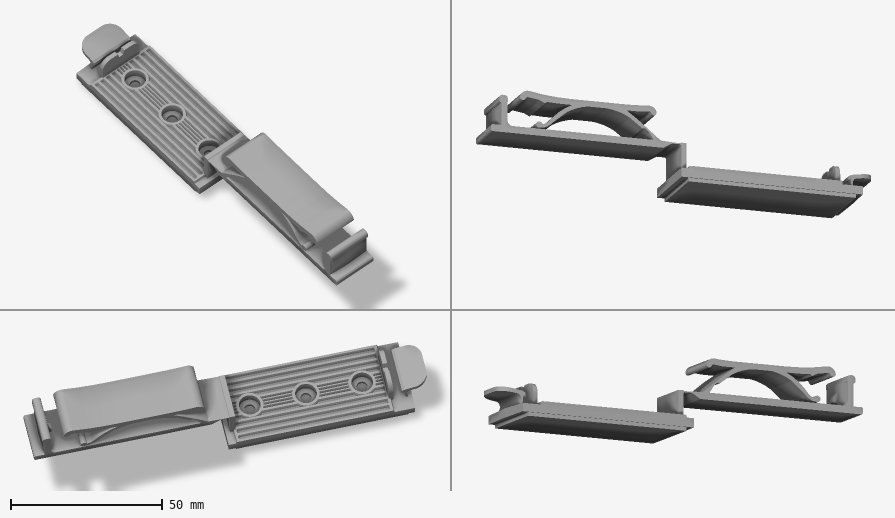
import cadquery as cq
import math


base_length = 63.5
base_width = 25.4
base_bottom = 1.27
ledge_top = 4.4
end_draft = 0.3
pad_inset = 2.54
pad_side_inset = 0.38

deck_start = 7.3
deck_end = 60.95
deck_end_draft = 0.3
deck_top = 5.3
coarse_groove_pitch = 2.42
coarse_groove_width = 1.63
coarse_groove_floor = 0.83
coarse_groove_first = 3.84
coarse_grooves_per_side = 4
fine_groove_pitch = coarse_groove_pitch / 2
fine_groove_width = coarse_groove_width / 2
fine_groove_floor = 0.15
fine_groove_count = 4
groove_start = 8.5
groove_end = 60.0
groove_depth = deck_top - ledge_top

hole_spacing = 19.05
hole_middle = 34.4
hole_radius = 1.83
counterbore_radius = 3.6
counterbore_floor = 2.3
rim_radius = 4.5
rim_base_radius = 4.9

strap_width = 15.88
strap_top = 14.53
strap_bottom = 12.11
strap_end = 128.37
strap_end_chamfer = 0.4
root_post_left = 60.2
root_post_right = 62.0
hinge_bottom = 13.9
hinge_top = 14.3
hinge_end = 64.6
hinge_notch_slope = 0.2
hinge_gusset = 0.4
strap_taper_start = 65.2
strap_taper_end = 68.3

fin_left = 6.55
fin_thickness = 1.6
fin_top = 12.55
fin_corner_radius = 3.6
notch_floor = 10.6
notch_half_top = 1.38
notch_half_floor = 0.8

tab_tip = -5.65
tab_corner_radius = 4.9

lever_top = 25.84
lever_underside = 23.82
lever_flat_start = 81.5
lever_flat_end = 100.1

latch_left = 122.35
latch_right = 125.15
latch_draft = 0.35
latch_top = 25.0
latch_head_left = 122.55
latch_head_right = 125.55
latch_head_bottom = 22.3
latch_head_fillet = 1.2
latch_head_chamfer = 0.4
latch_root_fillet = 1.95
nub_tip = 120.7
nub_bottom = 16.3
nub_tip_bottom = 16.7
nub_tip_top = 18.3
nub_top = 20.2

joint_overlap = 0.3


def strap_prism(outline):
    """Extrude a closed XZ outline across the strap width, centred on y = 0."""
    return outline.close().extrude(strap_width / 2, both=True)


def box_between(x_range, width, z_range):
    """Box spanning the two ranges, centred on y = 0."""
    return (
        cq.Workplane("XY", origin=(x_range[0], 0, z_range[0]))
        .box(x_range[1] - x_range[0], width, z_range[1] - z_range[0], centered=(False, True, False))
    )


def ledge_draft_cutter():
    """Wedges that slope the latch-end ledge down towards both long sides."""
    half = base_width / 2
    return (
        cq.Workplane("YZ")
        .polyline([(0, ledge_top), (half, ledge_top - end_draft), (half, deck_top),
                   (-half, deck_top), (-half, ledge_top - end_draft)])
        .close()
        .extrude(deck_start)
    )


def make_base():
    half = base_width / 2
    plate = (
        cq.Workplane("XY", origin=(0, 0, base_bottom))
        .polyline([(0, 0), (end_draft, -half), (base_length, -half), (base_length, half), (end_draft, half)])
        .close()
        .extrude(ledge_top - base_bottom)
    )
    pad = box_between(
        (pad_inset, base_length - pad_inset), base_width - 2 * pad_side_inset, (0, base_bottom)
    )
    deck = (
        cq.Workplane("XZ")
        .polyline([(deck_start, base_bottom), (deck_end, base_bottom), (deck_end, ledge_top),
                   (deck_end - deck_end_draft, deck_top), (deck_start + deck_end_draft, deck_top),
                   (deck_start, ledge_top)])
        .close()
        .extrude(half, both=True)
    )
    return plate.cut(ledge_draft_cutter()).union(pad).union(deck)


def hole_centres():
    return [(hole_middle + i * hole_spacing, 0) for i in (-1, 0, 1)]


def wall_taper(wall_run):
    """Angle in degrees of a wall that leans by wall_run over the groove depth."""
    return math.degrees(math.atan(wall_run / groove_depth))


def make_groove(y, top_width, floor_width):
    """Groove cutter with sloped walls, square at the latch end and round at the hinge end."""
    half = top_width / 2
    wall_run = (top_width - floor_width) / 2
    return (
        cq.Workplane("XY", origin=(0, y, deck_top))
        .moveTo(groove_start, -half)
        .lineTo(groove_end - half, -half)
        .threePointArc((groove_end, 0), (groove_end - half, half))
        .lineTo(groove_start, half)
        .close()
        .extrude(-groove_depth, taper=wall_taper(wall_run))
    )


def cut_grooves(base):
    """Coarse grooves along both sides, fine ones down the middle and a plain rim around each hole."""
    grooves = cq.Workplane("XY")
    for i in range(coarse_grooves_per_side):
        y = coarse_groove_first + i * coarse_groove_pitch
        for side in (-1, 1):
            grooves = grooves.add(make_groove(side * y, coarse_groove_width, coarse_groove_floor))
    for i in range(fine_groove_count):
        y = (i - (fine_groove_count - 1) / 2) * fine_groove_pitch
        grooves = grooves.add(make_groove(y, fine_groove_width, fine_groove_floor))
    grooves = grooves.combine()
    rims = (
        cq.Workplane("XY", origin=(0, 0, ledge_top))
        .pushPoints(hole_centres())
        .circle(rim_base_radius)
        .extrude(groove_depth, taper=wall_taper(rim_base_radius - rim_radius))
    )
    return base.cut(grooves.cut(rims))


def hole_cutter(radius, floor):
    return (
        cq.Workplane("XY", origin=(0, 0, floor))
        .pushPoints(hole_centres())
        .circle(radius)
        .extrude(deck_top - floor)
    )


def make_fin():
    blank = box_between((fin_left, fin_left + fin_thickness), strap_width, (base_bottom, fin_top))
    blank = blank.edges("|X and >Z").fillet(fin_corner_radius)
    notch = (
        cq.Workplane("YZ")
        .polyline([(-notch_half_floor, notch_floor), (notch_half_floor, notch_floor),
                   (notch_half_top, fin_top), (-notch_half_top, fin_top)])
        .close()
        .extrude(fin_left + fin_thickness)
    )
    return blank.cut(notch)


def make_release_tab():
    """Thin finger tab on a flexible stem, with a nose that faces the fin."""
    stem_foot = ledge_top - end_draft
    tip_top = (tab_tip, 10.5)
    tip_bottom = (tab_tip, 9.0)
    nose_crest = (2.8, 9.15)
    nose_shoulder = (3.65, 8.6)
    nose_lip = (3.65, 7.3)
    nose_root = (2.9, 7.75)
    stem_bend_right = (2.75, 6.0)
    stem_foot_right = (2.4, stem_foot)
    stem_foot_left = (1.6, stem_foot)
    stem_flare_left = (1.85, 5.2)
    stem_bend_left = (2.1, 6.05)
    throat_middle = (1.8, 7.45)
    throat_end = (0.9, 8.1)
    profile = (
        cq.Workplane("XZ")
        .polyline([tip_top, nose_crest, nose_shoulder, nose_lip, nose_root, stem_bend_right,
                   stem_foot_right, stem_foot_left, stem_flare_left, stem_bend_left])
        .threePointArc(throat_middle, throat_end)
        .lineTo(*tip_bottom)
    )
    plan = box_between((tab_tip, deck_start), strap_width, (base_bottom, fin_top))
    plan = plan.edges("|Z and <X").fillet(tab_corner_radius)
    return strap_prism(profile).intersect(plan)


def make_strap():
    """Root post, thin hinge and flat strap in one profile."""
    profile = (
        cq.Workplane("XZ")
        .polyline([
            (root_post_left, base_bottom),
            (root_post_left, strap_top),
            (root_post_right, strap_top),
            (root_post_right + hinge_notch_slope, hinge_top),
            (hinge_end, hinge_top),
            (strap_taper_end, strap_top),
            (strap_end, strap_top),
            (strap_end, strap_bottom),
            (strap_taper_end, strap_bottom),
            (strap_taper_start, hinge_bottom),
            (root_post_right + hinge_gusset, hinge_bottom),
            (root_post_right, hinge_bottom - hinge_gusset),
            (root_post_right, base_bottom),
        ])
    )
    return strap_prism(profile).faces(">X").edges("|Y").chamfer(strap_end_chamfer)


def make_arch():
    """Curved spring band rising from the strap, carrying the lever and ending in a rounded foot."""
    root = strap_top - joint_overlap
    inside_lever = lever_underside + joint_overlap
    outer_root = (68.8, root)
    outer_bend = (77.2, 21.05)
    outer_left_x = 81.1
    outer_right_x = lever_flat_end
    right_shoulder = (104.0, 21.5)
    right_slope_start = (106.5, 19.3)
    right_slope_end = (108.2, 17.4)
    foot_hollow = (109.2, 16.6)
    foot_valley = (110.4, 16.3)
    foot_instep = (110.8, 16.8)
    foot_top = (111.6, 17.0)
    foot_toe = (112.65, 15.95)
    foot_sole_end = (111.6, 14.9)
    foot_sole_start = (110.4, 14.95)
    foot_heel = (108.5, 15.7)
    inner_right_low = (107.0, 17.0)
    inner_right_high = (101.9, 21.2)
    crown_right_middle = (98.7, 22.75)
    crown_right = (94.7, lever_underside)
    crown_left = (88.2, lever_underside)
    crown_left_middle = (84.2, 23.15)
    inner_left_high = (80.1, 21.44)
    thinning_step = (75.6, 18.1)
    thinning_top = (74.6, 18.2)
    thinning_bottom = (73.3, 17.1)
    inner_root = (71.5, root)
    profile = (
        cq.Workplane("XZ")
        .polyline([outer_root, outer_bend, (outer_left_x, lever_underside), (outer_left_x, inside_lever),
                   (outer_right_x, inside_lever), (outer_right_x, lever_underside)])
        .threePointArc(right_shoulder, right_slope_start)
        .lineTo(*right_slope_end)
        .threePointArc(foot_hollow, foot_valley)
        .threePointArc(foot_instep, foot_top)
        .threePointArc(foot_toe, foot_sole_end)
        .lineTo(*foot_sole_start)
        .threePointArc(foot_heel, inner_right_low)
        .lineTo(*inner_right_high)
        .threePointArc(crown_right_middle, crown_right)
        .lineTo(*crown_left)
        .threePointArc(crown_left_middle, inner_left_high)
        .lineTo(*thinning_step)
        .lineTo(*thinning_top)
        .lineTo(*thinning_bottom)
        .lineTo(*inner_root)
    )
    return strap_prism(profile)


def make_lever():
    """Clamp lever: flat in the middle, curving up to a hooked lip at both ends."""
    right_rise = (108.0, 26.2)
    right_crest = (115.1, 27.2)
    right_nose = (117.5, 26.4)
    right_lip_outer = (118.3, 24.6)
    right_lip_bottom = (117.3, 23.86)
    right_lip_inner = (116.3, 24.5)
    right_hook_root = (115.9, 25.07)
    bump_right = (111.6, 24.43)
    bump_tip = (109.6, 23.46)
    bump_left = (108.9, 24.0)
    underside_right = (104.8, lever_underside)
    underside_left = (76.5, lever_underside)
    left_hook_root = (72.8, 24.2)
    left_lip_inner = (72.4, 23.5)
    left_lip_bottom = (71.2, 23.1)
    left_lip_outer = (70.65, 24.2)
    left_nose = (71.25, 25.34)
    left_crest = (73.4, 26.2)
    left_rise = (77.4, 25.95)
    flat_start = (lever_flat_start, lever_top)
    profile = (
        cq.Workplane("XZ")
        .moveTo(*flat_start)
        .lineTo(lever_flat_end, lever_top)
        .threePointArc(right_rise, right_crest)
        .threePointArc(right_nose, right_lip_outer)
        .threePointArc(right_lip_bottom, right_lip_inner)
        .lineTo(*right_hook_root)
        .lineTo(*bump_right)
        .lineTo(*bump_tip)
        .lineTo(*bump_left)
        .lineTo(*underside_right)
        .lineTo(*underside_left)
        .lineTo(*left_hook_root)
        .lineTo(*left_lip_inner)
        .threePointArc(left_lip_bottom, left_lip_outer)
        .threePointArc(left_nose, left_crest)
        .threePointArc(left_rise, flat_start)
    )
    return strap_prism(profile)


def make_latch_post():
    """Latch post, thinned towards both sides, with a rounded head and a curved root."""
    half = strap_width / 2
    side_left = latch_left + latch_draft
    side_right = latch_right - latch_draft
    foot = strap_top - joint_overlap
    post = (
        cq.Workplane("XY", origin=(0, 0, foot))
        .polyline([(latch_left, 0), (side_left, -half), (side_right, -half),
                   (latch_right, 0), (side_right, half), (side_left, half)])
        .close()
        .extrude(latch_head_bottom + latch_head_chamfer + joint_overlap - foot)
    )
    head = box_between((latch_head_left, latch_head_right), strap_width, (latch_head_bottom, latch_top))
    head = head.edges("|Y and >Z").fillet(latch_head_fillet)
    head = head.edges("|Y and <Z").chamfer(latch_head_chamfer)
    arc_inset = latch_root_fillet * (1 - math.sqrt(0.5))
    root = strap_prism(
        cq.Workplane("XZ")
        .moveTo(side_left - latch_root_fillet, strap_top)
        .threePointArc((side_left - arc_inset, strap_top + arc_inset),
                       (side_left, strap_top + latch_root_fillet))
        .lineTo(side_left, strap_top)
    )
    return post.union(head).union(root)


def make_nub():
    """Catch on the latch post: pointed towards the lever and tapered to fit the fin notch."""
    buried = latch_left + latch_draft
    side_view = (
        cq.Workplane("XZ")
        .polyline([(nub_tip, nub_tip_bottom), (nub_tip, nub_tip_top), (latch_left, nub_top),
                   (buried, nub_top), (buried, nub_bottom)])
        .close()
        .extrude(notch_half_top, both=True)
    )
    end_view = (
        cq.Workplane("YZ", origin=(nub_tip, 0, 0))
        .polyline([(-notch_half_top, strap_top), (notch_half_top, strap_top),
                   (notch_half_floor, nub_top), (-notch_half_floor, nub_top)])
        .close()
        .extrude(buried - nub_tip)
    )
    return side_view.intersect(end_view)


base = cut_grooves(make_base())
result = (
    base.cut(hole_cutter(counterbore_radius, counterbore_floor))
    .cut(hole_cutter(hole_radius, base_bottom))
    .union(make_fin())
    .union(make_release_tab())
    .union(make_strap())
    .union(make_arch())
    .union(make_lever())
    .union(make_latch_post())
    .union(make_nub())
)